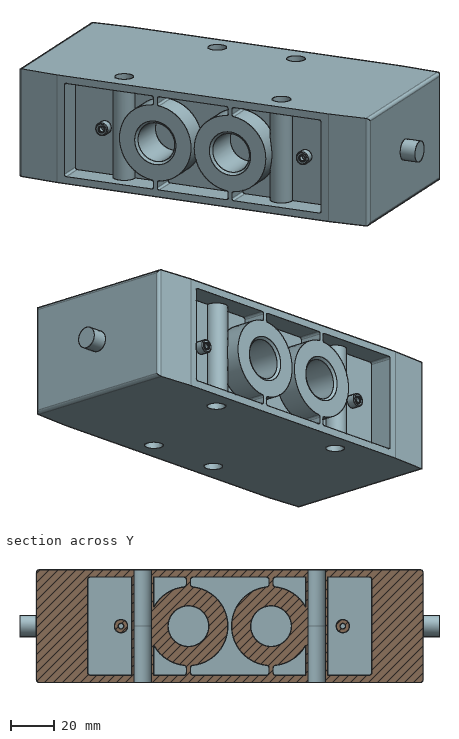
import cadquery as cq
import math

BODY_LENGTH = 178.0
BODY_WIDTH = 80.0
BODY_HEIGHT = 52.0
STRAIGHT_LENGTH = 138.0
TAPER_ANGLE = 4.0
END_FILLET = 1.5

OVERALL_LENGTH = 193.0
END_PIN_DIAMETER = 9.9

MOUNT_HOLE_DIAMETER = 8.6
FRONT_HOLE_SPACING = 80.0
FRONT_HOLE_Y = -29.0
REAR_HOLE_SPACING = 40.0
REAR_HOLE_Y = 29.0

POCKET_LENGTH = 130.5
POCKET_HEIGHT = 45.0
POCKET_DEPTH = 11.8
POCKET_FILLET = 1.0
POST_DIAMETER = 10.5

PORT_SPACING = 38.0
PORT_BOSS_DIAMETER = 36.4
PORT_BORE_DIAMETER = 18.63
PORT_MOUTH_DIAMETER = 20.96
PORT_BORE_DEPTH = 20.0
RIB_THICKNESS = 2.0

STUD_SPACING = 102.0
STUD_PAIR_CENTER_X = 1.0
STUD_DIAMETER = 6.15
STUD_TIP_DIAMETER = 5.2
STUD_HEIGHT = 4.3
STUD_TIP_CHAMFER = (STUD_DIAMETER - STUD_TIP_DIAMETER) / 2
STUD_HOLE_DIAMETER = 2.46
STUD_HOLE_DEPTH = 3.0
STUD_RECESS_DIAMETER = 3.4
STUD_RECESS_DEPTH = 0.6

FRONT_Y = -BODY_WIDTH / 2
POCKET_FLOOR_Y = FRONT_Y + POCKET_DEPTH
SIDES = (-1, 1)


def cylinder_along_y(diameter, x, start_y, length):
    """Cylinder at height zero, running in +Y from start_y."""
    return cq.Workplane(cq.Solid.makeCylinder(
        diameter / 2, length, cq.Vector(x, start_y, 0), cq.Vector(0, 1, 0)))


def make_body():
    half_length = BODY_LENGTH / 2
    half_straight = STRAIGHT_LENGTH / 2
    half_width = BODY_WIDTH / 2
    end_half_width = half_width - (half_length - half_straight) * math.tan(math.radians(TAPER_ANGLE))
    outline = [
        (-half_length, -end_half_width),
        (-half_straight, -half_width),
        (half_straight, -half_width),
        (half_length, -end_half_width),
        (half_length, end_half_width),
        (half_straight, half_width),
        (-half_straight, half_width),
        (-half_length, end_half_width),
    ]
    block = cq.Workplane("XY").polyline(outline).close().extrude(BODY_HEIGHT / 2, both=True)
    return block.faces("<X or >X").edges().fillet(END_FILLET)


def make_end_pins():
    return cq.Workplane("YZ").circle(END_PIN_DIAMETER / 2).extrude(OVERALL_LENGTH / 2, both=True)


def pocket_block(length):
    """Block centered in X that fills the pocket to its full height and depth."""
    center_y = FRONT_Y + POCKET_DEPTH / 2
    return cq.Workplane("XY").box(length, POCKET_DEPTH, POCKET_HEIGHT).translate((0, center_y, 0))


def make_port_boss(side):
    x = side * PORT_SPACING / 2
    boss = cylinder_along_y(PORT_BOSS_DIAMETER, x, FRONT_Y, POCKET_DEPTH)
    rib = pocket_block(RIB_THICKNESS).translate((x, 0, 0))
    return boss.union(rib)


def make_pocket():
    """Pocket space around the ribbed bosses, rounded in every corner that runs along Y."""
    space = pocket_block(POCKET_LENGTH)
    for side in SIDES:
        space = space.cut(make_port_boss(side))
    return space.edges("|Y").fillet(POCKET_FILLET)


def make_post(side):
    """Round post that carries a front mounting hole through the pocket."""
    x = side * FRONT_HOLE_SPACING / 2
    return (
        cq.Workplane("XY", origin=(x, FRONT_HOLE_Y, -BODY_HEIGHT / 2))
        .circle(POST_DIAMETER / 2)
        .extrude(BODY_HEIGHT)
    )


def make_port_bore(side):
    x = side * PORT_SPACING / 2
    mouth_chamfer = (PORT_MOUTH_DIAMETER - PORT_BORE_DIAMETER) / 2
    bore = cylinder_along_y(PORT_BORE_DIAMETER, x, FRONT_Y, PORT_BORE_DEPTH)
    mouth = cylinder_along_y(PORT_MOUTH_DIAMETER, x, FRONT_Y, 2 * mouth_chamfer)
    mouth = mouth.faces(">Y").chamfer(mouth_chamfer)
    mouth = mouth.translate((0, -mouth_chamfer, 0))
    return bore.union(mouth)


def make_stud(side):
    x = STUD_PAIR_CENTER_X + side * STUD_SPACING / 2
    tip_y = POCKET_FLOOR_Y - STUD_HEIGHT
    stud = cylinder_along_y(STUD_DIAMETER, x, tip_y, STUD_HEIGHT)
    stud = stud.faces("<Y").chamfer(STUD_TIP_CHAMFER)
    stud = stud.cut(cylinder_along_y(STUD_RECESS_DIAMETER, x, tip_y, STUD_RECESS_DEPTH))
    return stud.cut(cylinder_along_y(STUD_HOLE_DIAMETER, x, tip_y, STUD_HOLE_DEPTH))


def make_mount_holes():
    front = [(side * FRONT_HOLE_SPACING / 2, FRONT_HOLE_Y) for side in SIDES]
    rear = [(side * REAR_HOLE_SPACING / 2, REAR_HOLE_Y) for side in SIDES]
    return (
        cq.Workplane("XY")
        .pushPoints(front + rear)
        .circle(MOUNT_HOLE_DIAMETER / 2)
        .extrude(BODY_HEIGHT, both=True)
    )


part = make_body().cut(make_pocket()).union(make_end_pins())
for side in SIDES:
    part = part.union(make_post(side))
    part = part.union(make_stud(side))
for side in SIDES:
    part = part.cut(make_port_bore(side))

result = part.cut(make_mount_holes())